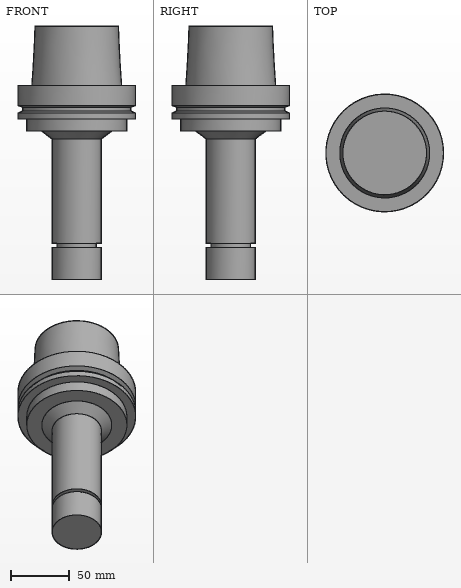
import cadquery as cq

flange_diameter = 100.0
groove_diameter = 92.0
collar_diameter = 85.0
cone_top_diameter = 59.3
stem_diameter = 42.0
neck_diameter = 33.5
taper_top_diameter = 71.0
taper_middle_diameter = 73.0
taper_base_diameter = 76.3

total_height = 215.0
tip_length = 27.5
neck_length = 3.2
stem_top = 119.3
cone_height = 6.7
collar_height = 10.0
lower_rim_height = 5.2
lower_groove_slope = 2.0
groove_floor_height = 3.0
upper_groove_slope = 1.5
taper_height = 50.0

neck_top = tip_length + neck_length
collar_bottom = stem_top + cone_height
flange_bottom = collar_bottom + collar_height
groove_bottom = flange_bottom + lower_rim_height
groove_floor_bottom = groove_bottom + lower_groove_slope
groove_floor_top = groove_floor_bottom + groove_floor_height
groove_top = groove_floor_top + upper_groove_slope
flange_top = total_height - taper_height
taper_middle = flange_top + taper_height / 2


def cylinder(diameter, bottom, top):
    """Upright cylinder on the Z axis between two levels."""
    return cq.Workplane("XY").workplane(offset=bottom).circle(diameter / 2).extrude(top - bottom)


def revolve_about_z(profile):
    """Turn a closed half profile, drawn in the XZ plane, around the Z axis."""
    return profile.revolve(360, (0, 0, 0), (0, 1, 0))


def make_taper():
    """Plug at the top whose side flares slightly, along an arc, towards the flange."""
    profile = (
        cq.Workplane("XZ")
        .moveTo(0, flange_top)
        .lineTo(taper_base_diameter / 2, flange_top)
        .threePointArc((taper_middle_diameter / 2, taper_middle), (taper_top_diameter / 2, total_height))
        .lineTo(0, total_height)
        .close()
    )
    return revolve_about_z(profile)


def make_flange():
    """Wide disc with a groove that has sloping sides and a flat floor."""
    flange_radius = flange_diameter / 2
    groove_radius = groove_diameter / 2
    profile = (
        cq.Workplane("XZ")
        .moveTo(0, flange_bottom)
        .lineTo(flange_radius, flange_bottom)
        .lineTo(flange_radius, groove_bottom)
        .lineTo(groove_radius, groove_floor_bottom)
        .lineTo(groove_radius, groove_floor_top)
        .lineTo(flange_radius, groove_top)
        .lineTo(flange_radius, flange_top)
        .lineTo(0, flange_top)
        .close()
    )
    return revolve_about_z(profile)


def make_cone():
    """Cone that widens from the stem up to the underside of the collar."""
    profile = (
        cq.Workplane("XZ")
        .moveTo(0, stem_top)
        .lineTo(stem_diameter / 2, stem_top)
        .lineTo(cone_top_diameter / 2, collar_bottom)
        .lineTo(0, collar_bottom)
        .close()
    )
    return revolve_about_z(profile)


def make_holder():
    """Tool holder: stem, cone, collar, grooved flange and taper."""
    stem = cylinder(stem_diameter, neck_top, stem_top)
    collar = cylinder(collar_diameter, collar_bottom, flange_bottom)
    return stem.union(make_cone()).union(collar).union(make_flange()).union(make_taper())


def make_tip():
    """Tip: a cylinder as wide as the stem, with a narrower neck that meets the stem's end."""
    head = cylinder(stem_diameter, 0, tip_length)
    neck = cylinder(neck_diameter, tip_length, neck_top)
    return head.union(neck)


holder = make_holder()
tip = make_tip()

result = cq.Compound.makeCompound([holder.val(), tip.val()])